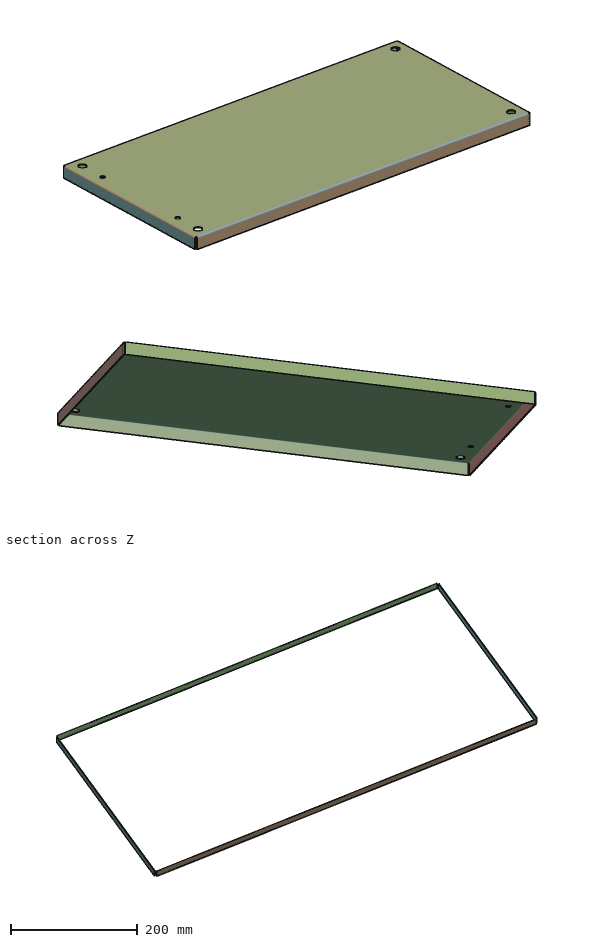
import cadquery as cq

width = 330.0
length = 686.0
height = 22.0

sheet = 2.0
bend_radius = 3.0

corner_hole_diameter = 14.5
small_hole_diameter = 8.0
corner_hole_x = 142.5
small_hole_x = 92.5
hole_row_y = 320.0


def rounded_block(span, top, depth, radius):
    """Block along Y with its base at Z = 0 and its two long upper edges rounded."""
    return (
        cq.Workplane("XY")
        .box(span, depth, top, centered=(True, True, False))
        .edges("|Y and >Z")
        .fillet(radius)
    )


def folded_channel(span, depth):
    """Sheet along Y, folded down along both long sides and open below."""
    outside = rounded_block(span, height, depth, bend_radius)
    inside = rounded_block(span - 2 * sheet, height - sheet, depth, bend_radius - sheet)
    return outside.cut(inside)


def through_holes(points, diameter):
    """Vertical cutters passing through the full height."""
    return cq.Workplane("XY").pushPoints(points).circle(diameter / 2).extrude(height)


side_flanges = folded_channel(width, length - 2 * bend_radius)
end_flanges = folded_channel(length, width - 2 * bend_radius).rotate((0, 0, 0), (0, 0, 1), 90)

cover = side_flanges.union(end_flanges)

corner_points = [(x, y) for x in (-corner_hole_x, corner_hole_x) for y in (-hole_row_y, hole_row_y)]
small_points = [(x, -hole_row_y) for x in (-small_hole_x, small_hole_x)]
cover = cover.cut(through_holes(corner_points, corner_hole_diameter))
cover = cover.cut(through_holes(small_points, small_hole_diameter))

result = cover